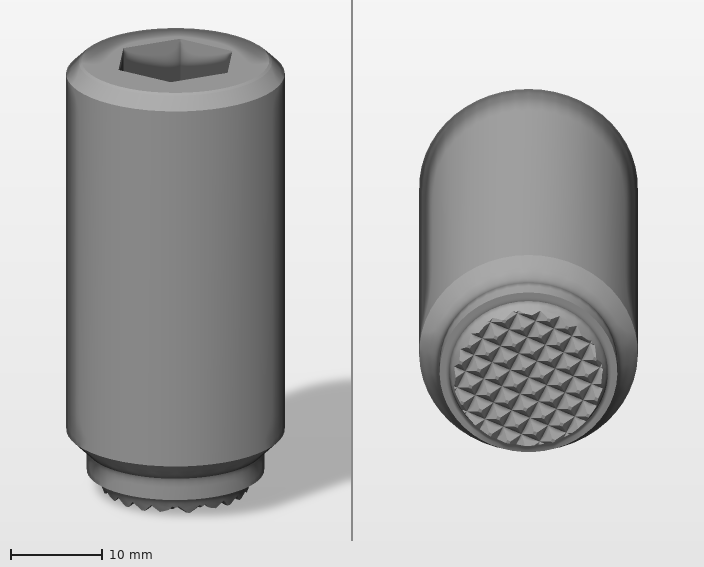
import cadquery as cq
import math

total_length = 50.0
screw_radius = 12.0

top_bevel_height = 1.55
top_bevel_radius = 10.6
top_face_radius = 10.3
top_break_height = 0.2

dog_radius = 9.75
dog_height = 2.5
bottom_bevel_height = screw_radius - dog_radius

socket_sides = 6
socket_flats = 12.0
socket_depth = 12.0
drill_point_angle = 120.0

pad_height = 2.2
pad_base_radius = 8.7
pad_tip_radius = 7.95

grooves_per_direction = 7
groove_pitch = 2.2
groove_depth = 0.9
groove_angle = 90.0

dog_bottom = pad_height
dog_top = dog_bottom + dog_height
shank_bottom = dog_top + bottom_bevel_height
shank_top = total_length - top_bevel_height
break_bottom = total_length - top_break_height


def make_socket():
    """Hexagonal prism with a conical floor, to be cut from the top face."""
    corner_radius = socket_flats / 2 / math.cos(math.pi / socket_sides)
    cone_height = corner_radius / math.tan(math.radians(drill_point_angle / 2))
    hex_bottom = total_length - socket_depth
    cone_tip = hex_bottom - cone_height
    hexagon = (
        cq.Workplane("XY")
        .workplane(offset=cone_tip)
        .polygon(socket_sides, 2 * corner_radius)
        .extrude(total_length - cone_tip)
    )
    drilled_space = (
        cq.Workplane("XZ")
        .moveTo(0, cone_tip)
        .lineTo(corner_radius, hex_bottom)
        .lineTo(corner_radius, total_length)
        .lineTo(0, total_length)
        .close()
        .revolve(360, (0, 0), (0, 1))
    )
    return hexagon.intersect(drilled_space)


def make_screw():
    """Turned screw body with bevelled ends, a dog point and a hexagon socket."""
    body = (
        cq.Workplane("XZ")
        .moveTo(0, dog_bottom)
        .lineTo(dog_radius, dog_bottom)
        .lineTo(dog_radius, dog_top)
        .lineTo(screw_radius, shank_bottom)
        .lineTo(screw_radius, shank_top)
        .lineTo(top_bevel_radius, break_bottom)
        .lineTo(top_face_radius, total_length)
        .lineTo(0, total_length)
        .close()
        .revolve(360, (0, 0), (0, 1))
    )
    return body.cut(make_socket())


def make_groove(offset):
    """V groove along Y at the given X offset, open at the tooth tips."""
    half_width = groove_depth * math.tan(math.radians(groove_angle / 2))
    return (
        cq.Workplane("XZ")
        .moveTo(offset - half_width, 0)
        .lineTo(offset, groove_depth)
        .lineTo(offset + half_width, 0)
        .close()
        .extrude(pad_base_radius, both=True)
    )


def make_pad():
    """Tapered round pad whose end face carries a grid of teeth."""
    pad = (
        cq.Workplane("XZ")
        .lineTo(pad_tip_radius, 0)
        .lineTo(pad_base_radius, pad_height)
        .lineTo(0, pad_height)
        .close()
        .revolve(360, (0, 0), (0, 1))
    )
    for index in range(grooves_per_direction):
        offset = (index - (grooves_per_direction - 1) / 2) * groove_pitch
        groove = make_groove(offset)
        crossing_groove = groove.rotate((0, 0, 0), (0, 0, 1), 90)
        pad = pad.cut(groove)
        pad = pad.cut(crossing_groove)
    return pad


screw = make_screw()
pad = make_pad()
result = cq.Compound.makeCompound([screw.val(), pad.val()])